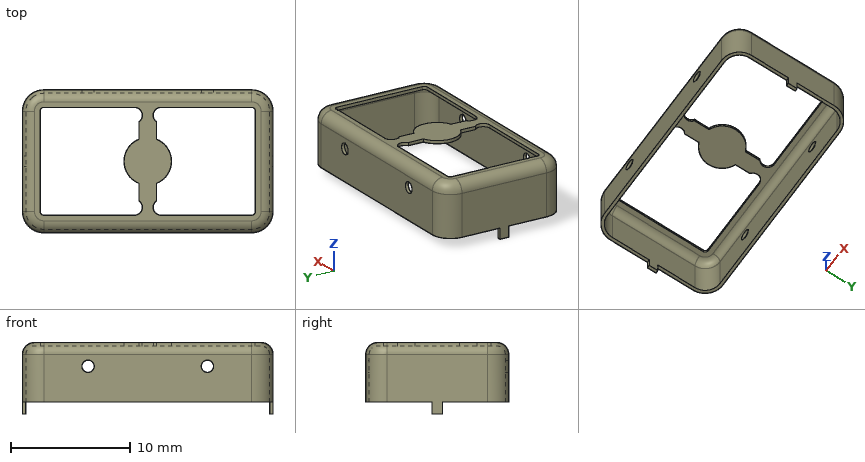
import cadquery as cq

length = 21.0
width = 12.0
total_height = 6.0
tab_drop = 1.0
body_height = total_height - tab_drop
wall = 0.3
corner_radius = 1.8
top_radius = 1.0

opening_length = 18.0
opening_width = 9.0
opening_corner_radius = 0.3
bridge_width = 1.5
disc_diameter = 4.0
relief_radius = 0.65
relief_x = 1.11
relief_y = opening_width / 2 - relief_radius

hole_diameter = 1.0
hole_spacing = 10.0
hole_height = 3.0
tab_width = 0.88


def rounded_block(size_x, size_y, height, side_radius, upper_radius):
    """Block standing on Z = 0 with round upright corners and a round top rim."""
    block = cq.Workplane("XY").box(size_x, size_y, height, centered=(True, True, False))
    return block.edges("|Z").fillet(side_radius).faces(">Z").edges().fillet(upper_radius)


def hollow_shell():
    """Cover of constant wall thickness, open at the bottom."""
    outside = rounded_block(length, width, body_height, corner_radius, top_radius)
    inside = rounded_block(
        length - 2 * wall,
        width - 2 * wall,
        body_height - wall,
        corner_radius - wall,
        top_radius - wall,
    )
    return outside.cut(inside)


def top_opening():
    """Cutter for the two windows, leaving the bridge, its disc and the corner reliefs."""
    plate_bottom = cq.Workplane("XY").workplane(offset=body_height - wall)
    window = plate_bottom.rect(opening_length, opening_width).extrude(wall)
    window = window.edges("|Z").fillet(opening_corner_radius)
    bridge = plate_bottom.rect(bridge_width, opening_width).extrude(wall)
    disc = plate_bottom.circle(disc_diameter / 2).extrude(wall)
    reliefs = (
        plate_bottom.rect(2 * relief_x, 2 * relief_y, forConstruction=True)
        .vertices()
        .circle(relief_radius)
        .extrude(wall)
    )
    shoulder_y = relief_y + relief_radius / 2
    shoulders = (
        plate_bottom.pushPoints([(0, -shoulder_y), (0, shoulder_y)])
        .rect(2 * relief_x, relief_radius)
        .extrude(wall)
    )
    return window.cut(bridge).cut(disc).cut(shoulders).union(reliefs)


def side_holes():
    """Cutter for the holes that pass through both long walls."""
    return (
        cq.Workplane("XZ", origin=(0, 0, hole_height))
        .pushPoints([(-hole_spacing / 2, 0), (hole_spacing / 2, 0)])
        .circle(hole_diameter / 2)
        .extrude(width, both=True)
    )


def bottom_tabs():
    """One tab below the middle of each end wall, reaching up into the wall to join it."""
    tab_x = (length - wall) / 2
    return (
        cq.Workplane("XY", origin=(0, 0, -tab_drop))
        .pushPoints([(-tab_x, 0), (tab_x, 0)])
        .rect(wall, tab_width)
        .extrude(tab_drop + wall)
    )


result = hollow_shell().cut(top_opening()).cut(side_holes()).union(bottom_tabs())